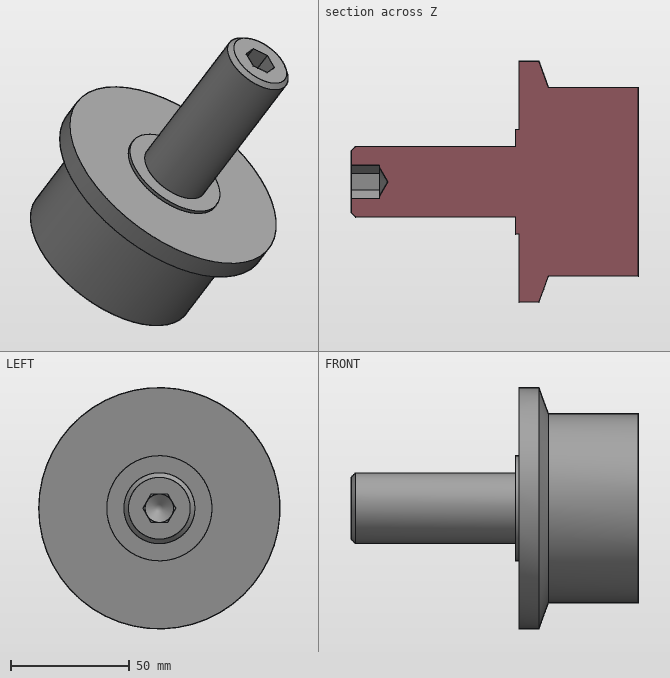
import cadquery as cq
import math

total_length = 121.5
collar_start = 69.5
flange_start = 71.0
flange_rim_width = 8.5
flange_taper_width = 4.0
stem_chamfer = 2.0

stem_diameter = 30.0
collar_diameter = 44.5
flange_diameter = 102.0
wheel_diameter = 80.0

socket_across_flats = 12.0
socket_depth = 12.0
drill_point_angle = 120.0

taper_start = flange_start + flange_rim_width
wheel_start = taper_start + flange_taper_width


def cylinder(diameter, start, end):
    """Solid cylinder on the X axis between two positions."""
    return cq.Workplane("YZ").workplane(offset=start).circle(diameter / 2).extrude(end - start)


def make_stem():
    return cylinder(stem_diameter, 0, collar_start).faces("<X").chamfer(stem_chamfer)


def make_wheel():
    """Wheel tread with its flange and the conical step between them."""
    flange_radius = flange_diameter / 2
    wheel_radius = wheel_diameter / 2
    profile = [
        (flange_start, 0),
        (flange_start, flange_radius),
        (taper_start, flange_radius),
        (wheel_start, wheel_radius),
        (total_length, wheel_radius),
        (total_length, 0),
    ]
    return cq.Workplane("XY").polyline(profile).close().revolve(360, (0, 0), (1, 0))


def make_socket():
    """Hexagonal hole with corners toward +Y and -Y and a conical bottom."""
    across_corners = socket_across_flats / math.cos(math.radians(30))
    hexagon = cq.Workplane("YZ").polygon(6, across_corners).extrude(socket_depth)
    cone_radius = socket_across_flats / 2
    cone_depth = cone_radius / math.tan(math.radians(drill_point_angle / 2))
    cone = cq.Workplane(
        cq.Solid.makeCone(cone_radius, 0, cone_depth, cq.Vector(socket_depth, 0, 0), cq.Vector(1, 0, 0))
    )
    return hexagon.union(cone)


collar = cylinder(collar_diameter, collar_start, flange_start)
result = make_stem().union(collar).union(make_wheel()).cut(make_socket())